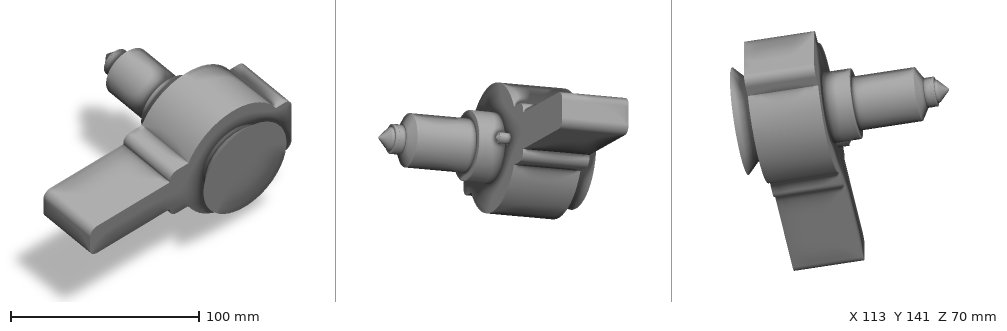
import cadquery as cq
import math


HOUSING_DEPTH = 38.0
HOUSING_RADIUS = 35.0
CORNER_RADIUS = 5.0
LUG_REACH = 41.0
LUG_HEIGHT = 36.0
SHOULDER_REACH = 44.1
SHOULDER_HEIGHT = 31.9
OVERALL_LENGTH = 141.0
ARM_REACH = OVERALL_LENGTH - LUG_REACH
ARM_HEIGHT = 20.0

INSERT_RADIUS = 22.4
NECK_RADIUS = 21.0
NECK_END = 40.0
FLARE_RADIUS = 29.0
FLARE_END = 48.0

PIN_RADIUS = 3.0
PIN_OFFSET = 23.7
PIN_LENGTH = 6.0
PIN_POINT_LENGTH = 1.5
PIN_POINT_RADIUS = 2.4
PIN_DEPTH = 11.3
SLOT_WIDTH = 6.0
SLOT_INNER_REACH = 20.2

BARREL_RADIUS = 14.5
BARREL_LENGTH = 48.6
BARREL_FRONT = 52.5
BARREL_FRONT_RADIUS = 8.3
COLLAR_RADIUS = 19.0
COLLAR_LENGTH = 15.0
COLLAR_CHAMFER = 0.3

SEAL_WIDTH = 1.0
SEAL_DEPTH = 1.0
SEAL_STARTS = (13.1, 4.0)

NOSE_RADIUS = 8.0
NOSE_REACH = 58.2
NOSE_CHAMFER = 0.3
NOSE_GROOVE_START = 57.2
NOSE_GROOVE_WIDTH = 1.0
NOSE_GROOVE_DEPTH = 0.1

TIP_REACH = 65.0
TIP_RADIUS = 6.3
TIP_FLAT_RADIUS = 0.5
TIP_BLEND_RADIUS = 2.5


def cylinder(radius, start, end):
    """Solid cylinder on the X axis from X = start to X = end."""
    return cq.Workplane("YZ", origin=(start, 0, 0)).circle(radius).extrude(end - start)


def turn(profile):
    """Revolve a closed (X, radius) profile about the X axis."""
    return profile.close().revolve(360, (0, 0, 0), (1, 0, 0))


def block(y_from, y_to, height):
    """Housing-deep block, centred on Z, from y_from to y_to."""
    length = y_to - y_from
    return cq.Workplane("XY").box(HOUSING_DEPTH, length, height).translate(
        (HOUSING_DEPTH / 2, (y_from + y_to) / 2, 0)
    )


def make_housing():
    lug = block(0, LUG_REACH, LUG_HEIGHT).edges(">Y and |X").fillet(CORNER_RADIUS)
    shoulder = block(-SHOULDER_REACH, 0, SHOULDER_HEIGHT).edges("<Y and |X").fillet(CORNER_RADIUS)
    arm = block(-ARM_REACH, 0, ARM_HEIGHT).edges("<Y and |X").fillet(CORNER_RADIUS)
    body = cylinder(HOUSING_RADIUS, 0, HOUSING_DEPTH).union(lug).union(shoulder).union(arm)
    bore = cylinder(INSERT_RADIUS, 0, HOUSING_DEPTH)
    pin_hole = cylinder(PIN_RADIUS, 0, PIN_DEPTH).translate((0, -PIN_OFFSET, 0))
    return body.cut(bore).cut(pin_hole)


def make_insert():
    body = turn(
        cq.Workplane("XY")
        .moveTo(0, 0)
        .lineTo(0, INSERT_RADIUS)
        .lineTo(HOUSING_DEPTH, INSERT_RADIUS)
        .lineTo(HOUSING_DEPTH, NECK_RADIUS)
        .lineTo(NECK_END, NECK_RADIUS)
        .lineTo(FLARE_END, FLARE_RADIUS)
        .lineTo(FLARE_END, 0)
    )
    slot_length = INSERT_RADIUS - SLOT_INNER_REACH
    slot = cq.Workplane("XY").box(PIN_DEPTH, slot_length, SLOT_WIDTH).translate(
        (PIN_DEPTH / 2, -(SLOT_INNER_REACH + slot_length / 2), 0)
    )
    return body.cut(slot)


def make_pin():
    shoulder = -PIN_LENGTH
    pin = turn(
        cq.Workplane("XY")
        .moveTo(shoulder - PIN_POINT_LENGTH, 0)
        .lineTo(shoulder, PIN_POINT_RADIUS)
        .lineTo(shoulder, PIN_RADIUS)
        .lineTo(PIN_DEPTH, PIN_RADIUS)
        .lineTo(PIN_DEPTH, 0)
    )
    return pin.translate((0, -PIN_OFFSET, 0))


def make_barrel():
    return turn(
        cq.Workplane("XY")
        .moveTo(-BARREL_FRONT, 0)
        .lineTo(-BARREL_FRONT, BARREL_FRONT_RADIUS)
        .lineTo(-BARREL_LENGTH, BARREL_RADIUS)
        .lineTo(0, BARREL_RADIUS)
        .lineTo(0, 0)
    )


def ring(outer_radius, inner_radius, start, end):
    """Flat ring on the X axis from X = start to X = end."""
    return cylinder(outer_radius, start, end).cut(cylinder(inner_radius, start, end))


def make_seal(start):
    return ring(COLLAR_RADIUS, COLLAR_RADIUS - SEAL_DEPTH, -start, -start + SEAL_WIDTH)


def make_collar():
    collar = cylinder(COLLAR_RADIUS, -COLLAR_LENGTH, 0).edges().chamfer(COLLAR_CHAMFER)
    collar = collar.cut(cylinder(BARREL_RADIUS, -COLLAR_LENGTH, 0))
    for start in SEAL_STARTS:
        collar = collar.cut(make_seal(start))
    return collar


def make_nose():
    nose = cylinder(NOSE_RADIUS, -NOSE_REACH, -BARREL_FRONT).edges().chamfer(NOSE_CHAMFER)
    nose = nose.cut(cylinder(TIP_RADIUS, -NOSE_REACH, -BARREL_FRONT))
    groove_end = -NOSE_GROOVE_START + NOSE_GROOVE_WIDTH
    return nose.cut(ring(NOSE_RADIUS, NOSE_RADIUS - NOSE_GROOVE_DEPTH, -NOSE_GROOVE_START, groove_end))


def make_tip():
    cos45 = math.sqrt(0.5)
    cone_radius = TIP_RADIUS - TIP_BLEND_RADIUS * (1 - cos45)
    cone_base = -TIP_REACH + cone_radius - TIP_FLAT_RADIUS
    blend_end = cone_base + TIP_BLEND_RADIUS * cos45
    half_angle = math.radians(22.5)
    blend_middle = (
        blend_end - TIP_BLEND_RADIUS * math.sin(half_angle),
        TIP_RADIUS - TIP_BLEND_RADIUS * (1 - math.cos(half_angle)),
    )
    return turn(
        cq.Workplane("XY")
        .moveTo(-TIP_REACH, 0)
        .lineTo(-TIP_REACH, TIP_FLAT_RADIUS)
        .lineTo(cone_base, cone_radius)
        .threePointArc(blend_middle, (blend_end, TIP_RADIUS))
        .lineTo(-BARREL_FRONT, TIP_RADIUS)
        .lineTo(-BARREL_FRONT, 0)
    )


housing = make_housing()
insert = make_insert()
pin = make_pin()
barrel = make_barrel()
collar = make_collar()
seals = [make_seal(start) for start in SEAL_STARTS]
nose = make_nose()
tip = make_tip()

result = cq.Compound.makeCompound(
    [
        housing.val(),
        insert.val(),
        pin.val(),
        barrel.val(),
        collar.val(),
        *[seal.val() for seal in seals],
        nose.val(),
        tip.val(),
    ]
)